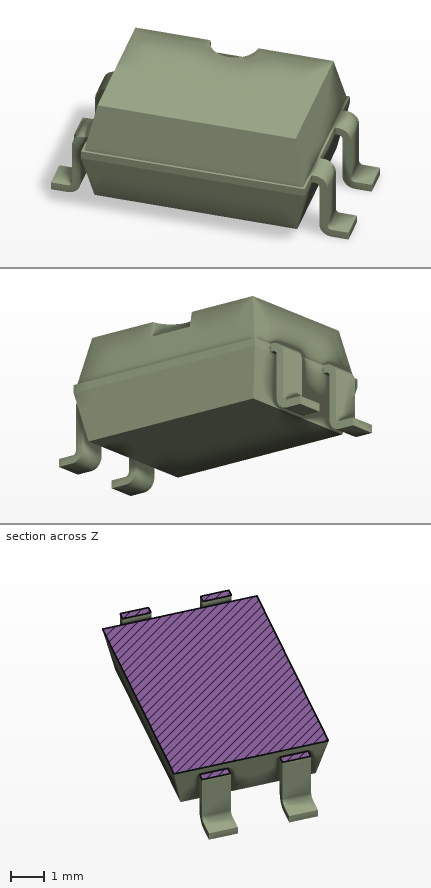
import cadquery as cq
import math

LEAD_SPAN = 9.32
BODY_LENGTH = 7.0
BODY_WIDTH = 4.93
TOTAL_HEIGHT = 3.68

STANDOFF = 0.38
BAND_TOP = 2.16
LEDGE = 0.075
DRAFT_ANGLE = 12.0

NOTCH_RADIUS = 0.75
NOTCH_DEPTH = 0.5
NOTCH_CENTRE_Y = 2.14

LEAD_THICKNESS = 0.254
LEAD_WIDTH = 0.914
LEAD_PITCH = 2.54
INNER_BEND = 0.135
FOOT_LENGTH = 0.66
LEAD_EMBED = 0.3

OUTER_BEND = INNER_BEND + LEAD_THICKNESS
BAND_BOTTOM = BAND_TOP - LEAD_THICKNESS


def tapered_half(base_z, height, inset):
    """Rectangular frustum narrowing away from base_z; negative height goes down."""
    end_inset = inset + abs(height) * math.tan(math.radians(DRAFT_ANGLE))
    return (
        cq.Workplane("XY")
        .workplane(offset=base_z)
        .rect(BODY_LENGTH - 2 * inset, BODY_WIDTH - 2 * inset)
        .workplane(offset=height)
        .rect(BODY_LENGTH - 2 * end_inset, BODY_WIDTH - 2 * end_inset)
        .loft(ruled=True)
    )


def make_body():
    """Central band with a stepped-in upper half and a flush lower half."""
    band = (
        cq.Workplane("XY")
        .workplane(offset=BAND_BOTTOM)
        .rect(BODY_LENGTH, BODY_WIDTH)
        .extrude(LEAD_THICKNESS)
    )
    upper = tapered_half(BAND_TOP, TOTAL_HEIGHT - BAND_TOP, LEDGE)
    lower = tapered_half(BAND_BOTTOM, STANDOFF - BAND_BOTTOM, 0.0)
    return band.union(upper).union(lower)


def make_notch():
    """Cylinder removed from the +Y edge of the top face."""
    return (
        cq.Workplane("XY")
        .workplane(offset=TOTAL_HEIGHT - NOTCH_DEPTH)
        .center(0, NOTCH_CENTRE_Y)
        .circle(NOTCH_RADIUS)
        .extrude(NOTCH_DEPTH)
    )


def make_lead(centre_y):
    """Gull-wing lead on the -X side, bent from a strip of constant thickness."""
    tip_x = -LEAD_SPAN / 2
    outer_x = tip_x + FOOT_LENGTH
    inner_x = outer_x + LEAD_THICKNESS
    root_x = -BODY_LENGTH / 2 + LEAD_EMBED
    return (
        cq.Workplane("XZ", origin=(0, centre_y + LEAD_WIDTH / 2, 0))
        .moveTo(tip_x, 0)
        .lineTo(inner_x - OUTER_BEND, 0)
        .radiusArc((inner_x, OUTER_BEND), -OUTER_BEND)
        .lineTo(inner_x, BAND_BOTTOM - INNER_BEND)
        .radiusArc((inner_x + INNER_BEND, BAND_BOTTOM), INNER_BEND)
        .lineTo(root_x, BAND_BOTTOM)
        .lineTo(root_x, BAND_TOP)
        .lineTo(outer_x + OUTER_BEND, BAND_TOP)
        .radiusArc((outer_x, BAND_TOP - OUTER_BEND), -OUTER_BEND)
        .lineTo(outer_x, LEAD_THICKNESS + INNER_BEND)
        .radiusArc((outer_x - INNER_BEND, LEAD_THICKNESS), INNER_BEND)
        .lineTo(tip_x, LEAD_THICKNESS)
        .close()
        .extrude(LEAD_WIDTH)
    )


result = make_body().cut(make_notch())
for lead_y in (-LEAD_PITCH / 2, LEAD_PITCH / 2):
    lead = make_lead(lead_y)
    result = result.union(lead).union(lead.mirror("YZ"))